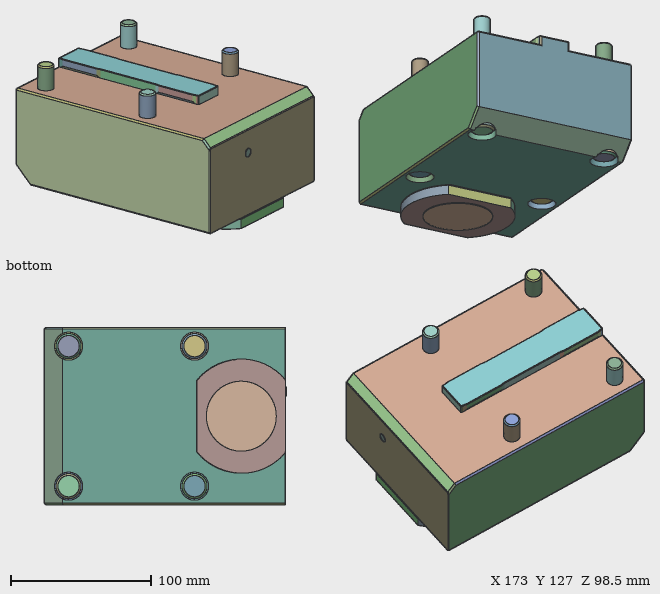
import cadquery as cq

block_length = 172.5
block_width = 127.0
block_height = 72.0
underside_bevel = 13.0
top_bevel = 6.0
edge_chamfer = 1.3
right_edge_chamfer = 0.5

rib_length = 125.0
rib_width = 24.0
rib_height = 7.0
rib_edge_chamfer = 0.5
pad_rise = 0.5
pad_length = 36.0
pad_end_inset = 2.0
pad_ramp_length = 3.0
pad_undercut_height = 1.5

screw_left_x = 17.5
screw_pitch_x = 90.0
screw_pitch_y = 100.0
screw_diameter = 12.0
screw_stick_out = 18.2
screw_tip_chamfer = 1.0
head_diameter = 18.0
head_height = 12.0
head_chamfer = 1.4
counterbore_diameter = 20.0
counterbore_depth = 14.9

foot_diameter = 81.7
foot_length = 63.3
foot_bottom = -7.6
foot_x = block_length - foot_length / 2
neck_diameter = 80.6
neck_thickness = 0.5
neck_offset = 0.5
neck_x = foot_x - neck_offset
ring_diameter = 50.0
ring_thickness = 0.7

button_diameter = 6.4
button_height = 0.5
button_y = -17.5
button_z = 48.3


def cylinder(x, y, bottom, top, diameter):
    return cq.Workplane("XY", origin=(x, y, bottom)).circle(diameter / 2).extrude(top - bottom)


def make_block():
    outline = [
        (underside_bevel, 0),
        (block_length, 0),
        (block_length, block_height - top_bevel),
        (block_length - top_bevel, block_height),
        (0, block_height),
        (0, underside_bevel),
    ]
    block = cq.Workplane("XZ").polyline(outline).close().extrude(block_width / 2, both=True)
    left_top_edge = block.faces("<X").edges(">Z")
    block = block.faces("<Y or >Y").edges("not >X").add(left_top_edge).chamfer(edge_chamfer)
    return block.faces(">X").chamfer(right_edge_chamfer)


def draw_pad(outline, start_x, direction):
    """Trace one pad along a rib flank; direction is +1 on the +Y flank and -1 on the -Y flank."""
    flank = direction * rib_width / 2
    face = direction * (rib_width / 2 + pad_rise)
    ramp_middle = direction * (rib_width / 2 + pad_rise / 4)
    end_x = start_x + direction * pad_length
    ramp = direction * pad_ramp_length
    return (
        outline.lineTo(start_x, flank)
        .threePointArc((start_x + ramp / 2, ramp_middle), (start_x + ramp, face))
        .lineTo(end_x - ramp, face)
        .threePointArc((end_x - ramp / 2, ramp_middle), (end_x, flank))
    )


def make_rib():
    flank = rib_width / 2
    face = flank + pad_rise
    pad_starts = (pad_end_inset, rib_length - pad_end_inset - pad_length)

    outline = cq.Workplane("XY").moveTo(0, -flank).lineTo(0, flank)
    for start_x in pad_starts:
        outline = draw_pad(outline, start_x, 1)
    outline = outline.lineTo(rib_length, flank).lineTo(rib_length, -flank)
    for start_x in reversed(pad_starts):
        outline = draw_pad(outline, start_x + pad_length, -1)
    rib = outline.close().extrude(rib_height + edge_chamfer)
    rib = rib.faces("<X").edges("not <Z").chamfer(edge_chamfer)
    rib = rib.faces(">X").edges("|Z").chamfer(rib_edge_chamfer)
    rib = rib.faces(">Z").edges("not <X").chamfer(rib_edge_chamfer)

    undercut_top = edge_chamfer + pad_undercut_height
    rib_top = edge_chamfer + rib_height
    section = [
        (-flank, 0),
        (flank, 0),
        (flank, edge_chamfer),
        (face, undercut_top),
        (face, rib_top),
        (-face, rib_top),
        (-face, undercut_top),
        (-flank, edge_chamfer),
    ]
    undercut_bar = cq.Workplane("YZ").polyline(section).close().extrude(rib_length)
    return rib.intersect(undercut_bar).translate((0, 0, block_height - edge_chamfer))


def make_screw(x, y):
    """Socket-head screw whose head hangs in the counterbore with clearance all round."""
    head = cylinder(x, y, counterbore_depth - head_height, counterbore_depth, head_diameter)
    head = head.faces("<Z").chamfer(head_chamfer)
    shank = cylinder(x, y, counterbore_depth, block_height + screw_stick_out, screw_diameter)
    shank = shank.faces(">Z").chamfer(screw_tip_chamfer)
    return head.union(shank)


def make_flatted_disc(x, bottom, top, diameter):
    flats = cq.Workplane("XY", origin=(x, 0, bottom)).rect(foot_length, diameter).extrude(top - bottom)
    return cylinder(x, 0, bottom, top, diameter).intersect(flats)


def make_foot():
    neck = make_flatted_disc(neck_x, -neck_thickness, 0, neck_diameter)
    foot = make_flatted_disc(foot_x, foot_bottom, -neck_thickness, foot_diameter)
    ring = cylinder(foot_x, 0, foot_bottom - ring_thickness, foot_bottom, ring_diameter)
    return neck.union(foot).union(ring)


def make_button():
    right_face = cq.Workplane("YZ", origin=(block_length, button_y, button_z))
    return right_face.circle(button_diameter / 2).extrude(button_height)


result = make_block().union(make_rib()).union(make_foot()).union(make_button())

for x in (screw_left_x, screw_left_x + screw_pitch_x):
    for y in (-screw_pitch_y / 2, screw_pitch_y / 2):
        counterbore = cylinder(x, y, 0, counterbore_depth, counterbore_diameter)
        result = result.cut(counterbore).union(make_screw(x, y))